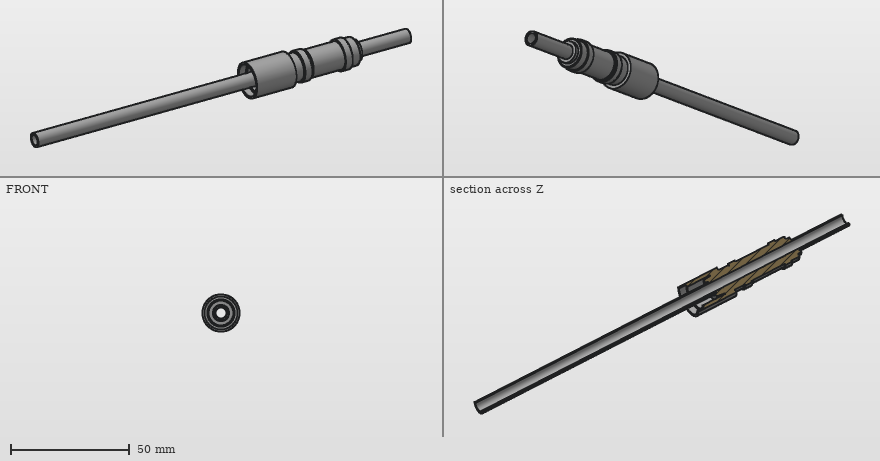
import cadquery as cq

TUBE_LENGTH = 184.15
TUBE_DIAMETER = 6.35
TUBE_BORE = 4.6
TUBE_END = TUBE_LENGTH / 2

COLLAR_DIAMETER = 9.5
BODY_DIAMETER = 12.7
BARREL_DIAMETER = 12.5
BAND_DIAMETER = 14.0
NUT_DIAMETER = 15.8

FREE_TUBE = 25.1
COLLAR_LENGTH = 1.65
REAR_BODY_LENGTH = 4.4
BAND_LENGTH = 3.4
BARREL_LENGTH = 15.5
NECK_LENGTH = 1.1
FRONT_BODY_LENGTH = 5.0
NUT_LENGTH = 19.4
BODY_CHAMFER = 0.4

MOUTH_DIAMETER = 13.9
MOUTH_DEPTH = 3.4
SOCKET_DIAMETER = 11.6
SOCKET_DEPTH = 15.0

NOSE_BASE_DIAMETER = 11.4
NOSE_TIP_DIAMETER = 10.4
NOSE_LENGTH = 4.0
CLEARANCE_DIAMETER = 6.9
CLEARANCE_DEPTH = 1.0

COLLAR_Y = TUBE_END - FREE_TUBE
REAR_BODY_Y = COLLAR_Y - COLLAR_LENGTH
REAR_BAND_Y = REAR_BODY_Y - REAR_BODY_LENGTH
BARREL_Y = REAR_BAND_Y - BAND_LENGTH
NECK_Y = BARREL_Y - BARREL_LENGTH
FRONT_BAND_Y = NECK_Y - NECK_LENGTH
FRONT_BODY_Y = FRONT_BAND_Y - BAND_LENGTH
NUT_Y = FRONT_BODY_Y - FRONT_BODY_LENGTH
NUT_FACE_Y = NUT_Y - NUT_LENGTH
SOCKET_FLOOR_Y = NUT_FACE_Y + SOCKET_DEPTH
NOSE_TIP_Y = SOCKET_FLOOR_Y - NOSE_LENGTH


def cylinder(y_start, length, diameter):
    """Solid cylinder on the Y axis that runs from y_start towards -Y."""
    return cq.Workplane("XZ", origin=(0, y_start, 0)).circle(diameter / 2).extrude(length)


def chamfered_body(y_start, length):
    """Body section with a chamfered rim at its +Y end."""
    return cylinder(y_start, length, BODY_DIAMETER).faces(">Y").chamfer(BODY_CHAMFER)


def sleeve():
    """Collar, body, barrel and the two raised bands."""
    collar = cylinder(COLLAR_Y, COLLAR_LENGTH, COLLAR_DIAMETER)
    barrel = cylinder(BARREL_Y, BARREL_LENGTH, BARREL_DIAMETER)
    neck = cylinder(NECK_Y, NECK_LENGTH, BODY_DIAMETER)
    shape = collar.union(barrel).union(neck)
    for band_y in (REAR_BAND_Y, FRONT_BAND_Y):
        shape = shape.union(cylinder(band_y, BAND_LENGTH, BAND_DIAMETER))
    shape = shape.union(chamfered_body(REAR_BODY_Y, REAR_BODY_LENGTH))
    return shape.union(chamfered_body(FRONT_BODY_Y, FRONT_BODY_LENGTH))


def nut():
    """Round nut with a two-step recess that opens at its -Y face."""
    mouth = cylinder(NUT_FACE_Y + MOUTH_DEPTH, MOUTH_DEPTH, MOUTH_DIAMETER)
    socket = cylinder(SOCKET_FLOOR_Y, SOCKET_DEPTH, SOCKET_DIAMETER)
    return cylinder(NUT_Y, NUT_LENGTH, NUT_DIAMETER).cut(mouth).cut(socket)


def nose():
    """Tapered nose inside the nut, with a shallow clearance ring in its tip."""
    cone = (
        cq.Workplane("XZ", origin=(0, SOCKET_FLOOR_Y, 0))
        .circle(NOSE_BASE_DIAMETER / 2)
        .workplane(offset=NOSE_LENGTH)
        .circle(NOSE_TIP_DIAMETER / 2)
        .loft(ruled=True)
    )
    return cone.cut(cylinder(NOSE_TIP_Y + CLEARANCE_DEPTH, CLEARANCE_DEPTH, CLEARANCE_DIAMETER))


tube = cylinder(TUBE_END, TUBE_LENGTH, TUBE_DIAMETER)
bore = cylinder(TUBE_END, TUBE_LENGTH, TUBE_BORE)

result = sleeve().union(nut()).union(nose()).union(tube).cut(bore)